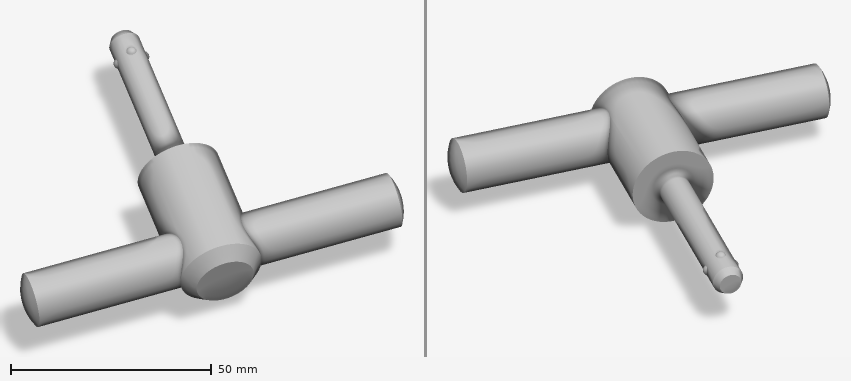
import cadquery as cq
import math


hub_radius = 10.73
hub_length = 36.1
hub_chamfer = 3.2

bar_length = 99.8
bar_radius = 7.0
bar_dome_height = 2.0
bar_x = hub_length - hub_chamfer - bar_radius

shaft_length = 43.6
shaft_radius = 4.0
tip_length = 2.0
tip_angle = 30.0
tip_radius = shaft_radius - tip_length * math.tan(math.radians(tip_angle))
root_radius = 1.5

ball_count = 4
ball_radius = 1.4
ball_protrusion = 0.65
ball_from_tip = 7.5
ball_x = ball_from_tip - shaft_length
ball_center_radius = shaft_radius + ball_protrusion - ball_radius


def make_crossbar():
    """Round bar along Y with a shallow dome on each end."""
    half_length = bar_length / 2
    straight_half = half_length - bar_dome_height
    dome_radius = (bar_radius**2 + bar_dome_height**2) / (2 * bar_dome_height)
    arc_x = bar_radius / 2
    arc_y = half_length - dome_radius + math.sqrt(dome_radius**2 - arc_x**2)
    return (
        cq.Workplane("XY")
        .moveTo(0, -half_length)
        .threePointArc((arc_x, -arc_y), (bar_radius, -straight_half))
        .lineTo(bar_radius, straight_half)
        .threePointArc((arc_x, arc_y), (0, half_length))
        .close()
        .revolve(360, (0, 0, 0), (0, 1, 0))
        .translate((bar_x, 0, 0))
    )


def make_hub(crossbar):
    """Cylinder with a chamfered far end and a through hole fitting the crossbar."""
    cylinder = cq.Workplane("YZ").circle(hub_radius).extrude(hub_length)
    return cylinder.faces(">X").chamfer(hub_chamfer).cut(crossbar)


def make_shaft():
    """Turned shaft with a tapered tip, a root fillet and locking balls."""
    arc_offset = root_radius * math.sqrt(0.5)
    fillet_radius_at_face = shaft_radius + root_radius
    shaft = (
        cq.Workplane("XY")
        .moveTo(-shaft_length, 0)
        .lineTo(-shaft_length, tip_radius)
        .lineTo(-shaft_length + tip_length, shaft_radius)
        .lineTo(-root_radius, shaft_radius)
        .threePointArc(
            (-root_radius + arc_offset, fillet_radius_at_face - arc_offset),
            (0, fillet_radius_at_face),
        )
        .lineTo(0, 0)
        .close()
        .revolve(360, (0, 0, 0), (1, 0, 0))
    )
    for index in range(ball_count):
        angle = 2 * math.pi * index / ball_count
        ball_y = ball_center_radius * math.cos(angle)
        ball_z = ball_center_radius * math.sin(angle)
        ball = cq.Workplane("XY").sphere(ball_radius).translate((ball_x, ball_y, ball_z))
        shaft = shaft.union(ball)
    return shaft


crossbar = make_crossbar()
hub = make_hub(crossbar)
shaft = make_shaft()

result = cq.Compound.makeCompound([hub.solids().val(), crossbar.val(), shaft.solids().val()])